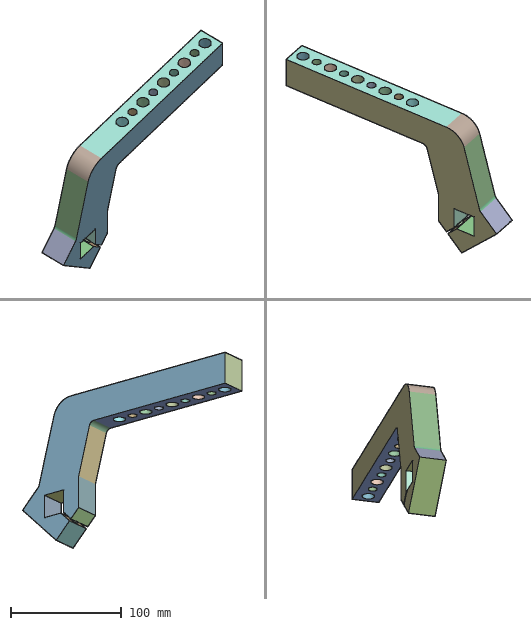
import cadquery as cq
import math

width = 25.0
length = 231
height = 136.0

arm_thickness = 30
leg_tilt = math.radians(15)
outer_bend_radius = 20.0
inner_bend_radius = 5.0
heel_blend_radius = 5.0

nose_height = 38.4
heel_offset = 18.5
head_back = 64.0
head_back_top = 56.0

bore_size = 21.7
bore_center_y = 35.8
bore_center_z = 36.0
slot_width = 2.0
slot_length = 27.7
screw_diameter = 7.6
screw_length = 4.6
screw_from_corner = 4.9

hole_count = 9
hole_pitch = 15.0
end_margin = 10.0
large_hole = 11.0
small_hole = 8.0


def leg_shift(rise):
    """Distance the leg moves along Y over a given rise."""
    return rise * math.tan(leg_tilt)


def make_body():
    arm_bottom = height - arm_thickness
    heel_z = nose_height + heel_offset
    outer_corner_y = heel_offset + leg_shift(height - heel_z)
    inner_corner_y = head_back + leg_shift(arm_bottom - head_back_top)
    outline = [
        (length, height),
        (outer_corner_y, height),
        (heel_offset, heel_z),
        (0, nose_height),
        (nose_height, 0),
        (head_back, head_back - nose_height),
        (head_back, head_back_top),
        (inner_corner_y, arm_bottom),
        (length, arm_bottom),
    ]
    body = cq.Workplane("YZ").polyline(outline).close().extrude(width / 2, both=True)

    def round_edge(solid, y, z, radius):
        near = cq.selectors.NearestToPointSelector((0, y, z))
        return solid.edges("|X").edges(near).fillet(radius)

    body = round_edge(body, outer_corner_y, height, outer_bend_radius)
    body = round_edge(body, inner_corner_y, arm_bottom, inner_bend_radius)
    return round_edge(body, heel_offset, heel_z, heel_blend_radius)


def cut_arm_holes(body):
    for index in range(hole_count):
        diameter = small_hole if index % 2 else large_hole
        y = length - end_margin - index * hole_pitch
        drill = cq.Workplane("XY").center(0, y).circle(diameter / 2).extrude(height)
        body = body.cut(drill)
    return body


def cut_clamp(body):
    bore = cq.Workplane("YZ").center(bore_center_y, bore_center_z)
    bore = bore.rect(bore_size, bore_size).extrude(width, both=True)

    corner_y = bore_center_y + bore_size / 2
    corner_z = bore_center_z - bore_size / 2
    slot = cq.Workplane("YZ").rect(slot_length, slot_width, centered=False)
    slot = slot.extrude(width, both=True)
    slot = slot.translate((0, -slot_width, -slot_width)).rotate((0, 0, 0), (1, 0, 0), -45)
    slot = slot.translate((0, corner_y, corner_z))

    screw = cq.Workplane("XY").circle(screw_diameter / 2).extrude(screw_length / 2, both=True)
    screw = screw.translate((0, screw_from_corner, -slot_width / 2)).rotate((0, 0, 0), (1, 0, 0), -45)
    screw = screw.translate((0, corner_y, corner_z))
    return body.cut(slot).union(screw).cut(bore)


result = cut_clamp(cut_arm_holes(make_body()))